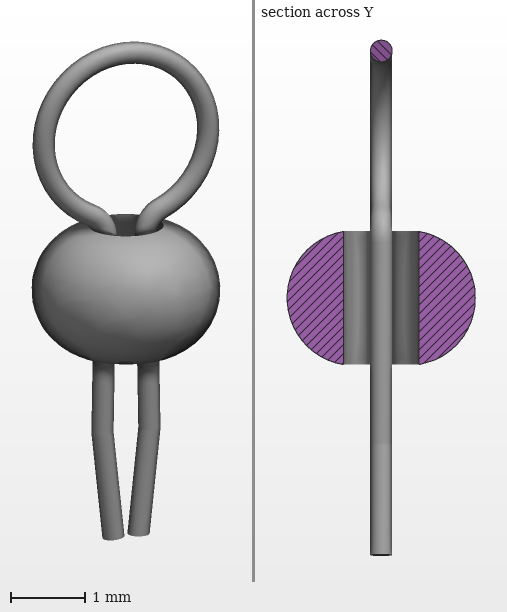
import cadquery as cq
import math

BEAD_RADIUS = 1.27
BEAD_HEIGHT = 1.8
BEAD_HOLE_RADIUS = 0.51

WIRE_RADIUS = 0.149
LOOP_OUTER_RADIUS = 1.32
WIRE_TOP = 3.47
NECK_ANGLE = math.radians(25.0)
NECK_RADIUS = 0.36
LEG_SPREAD = math.radians(1.0)
TIP_CONVERGENCE = math.radians(6.0)
LEG_BEND_Z = -1.95
LEG_BEND_RADIUS = 0.36
TIP_Z = -3.455
LEVEL_TIP_Z = -3.44

LOOP_RADIUS = LOOP_OUTER_RADIUS - WIRE_RADIUS
LOOP_CENTER_Z = WIRE_TOP - LOOP_OUTER_RADIUS


def make_bead():
    """Revolve the rounded section of the bead about the Z axis."""
    half_height = BEAD_HEIGHT / 2
    return (
        cq.Workplane("XZ")
        .moveTo(BEAD_HOLE_RADIUS, -half_height)
        .threePointArc((BEAD_RADIUS, 0), (BEAD_HOLE_RADIUS, half_height))
        .close()
        .revolve(360, (0, 0), (0, 1))
    )


def point_on_arc(center, radius, angle):
    """Point (y, z) at an angle measured from +Y towards +Z."""
    return (center[0] + radius * math.cos(angle), center[1] + radius * math.sin(angle))


def straight_end(start, lean, end_z):
    """Lower end of a straight stretch leaning outward by the given angle."""
    return (start[0] + (start[1] - end_z) * math.tan(lean), end_z)


def mirrored(point):
    return (-point[0], point[1])


def make_wire():
    """Sweep the round wire along its centreline in the YZ plane."""
    loop_center = (0, LOOP_CENTER_Z)
    loop_end = point_on_arc(loop_center, LOOP_RADIUS, NECK_ANGLE - math.pi / 2)

    neck_center = point_on_arc(loop_center, LOOP_RADIUS + NECK_RADIUS, NECK_ANGLE - math.pi / 2)
    neck_start_angle = math.pi / 2 + NECK_ANGLE
    neck_end_angle = math.pi + LEG_SPREAD
    neck_middle = point_on_arc(neck_center, NECK_RADIUS, (neck_start_angle + neck_end_angle) / 2)
    neck_end = point_on_arc(neck_center, NECK_RADIUS, neck_end_angle)

    bend_start = straight_end(neck_end, LEG_SPREAD, LEG_BEND_Z)
    bend_center = point_on_arc(bend_start, LEG_BEND_RADIUS, math.pi + LEG_SPREAD)
    bend_middle = point_on_arc(bend_center, LEG_BEND_RADIUS, (LEG_SPREAD - TIP_CONVERGENCE) / 2)
    bend_end = point_on_arc(bend_center, LEG_BEND_RADIUS, -TIP_CONVERGENCE)
    tip = straight_end(bend_end, -TIP_CONVERGENCE, TIP_Z)

    path = (
        cq.Workplane("YZ")
        .moveTo(*tip)
        .lineTo(*bend_end)
        .threePointArc(bend_middle, bend_start)
        .lineTo(*neck_end)
        .threePointArc(neck_middle, loop_end)
        .threePointArc((0, LOOP_CENTER_Z + LOOP_RADIUS), mirrored(loop_end))
        .threePointArc(mirrored(neck_middle), mirrored(neck_end))
        .lineTo(*mirrored(bend_start))
        .threePointArc(mirrored(bend_middle), mirrored(bend_end))
        .lineTo(*mirrored(tip))
    )
    tip_plane = cq.Plane(
        origin=(0, *tip),
        xDir=(1, 0, 0),
        normal=(0, math.sin(TIP_CONVERGENCE), math.cos(TIP_CONVERGENCE)),
    )
    wire = cq.Workplane(tip_plane).circle(WIRE_RADIUS).sweep(path)

    trim_size = 4 * WIRE_RADIUS
    tip_trim = cq.Workplane("XY").box(trim_size, trim_size, trim_size, centered=(True, False, False))
    return wire.cut(tip_trim.translate((0, 0, LEVEL_TIP_Z - trim_size)))


bead = make_bead()
wire = make_wire()
result = cq.Compound.makeCompound([bead.val(), *wire.solids().vals()])